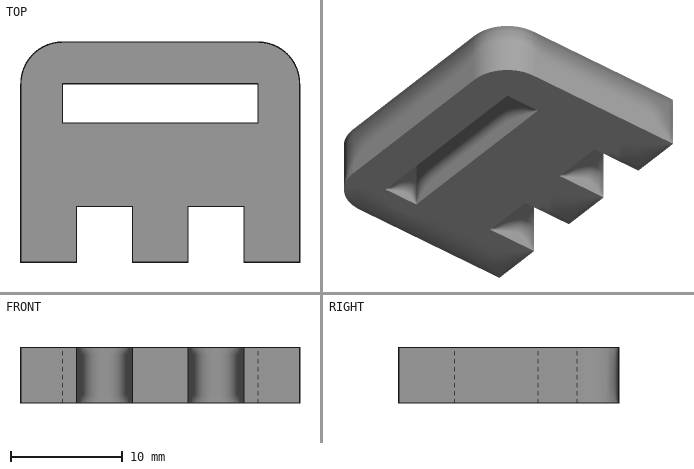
import cadquery as cq

tooth_width = 5.0
tooth_count = 3
tooth_length = 5.0
thickness = 5.0
rim = 3.75
slot_depth = 3.5
bridge = 7.5

gap_count = tooth_count - 1
width = (tooth_count + gap_count) * tooth_width
depth = tooth_length + bridge + slot_depth + rim
slot_width = width - 2 * rim


def block(x, y, size_x, size_y):
    """Full-thickness block with its lower left corner at (x, y)."""
    return cq.Workplane("XY").box(size_x, size_y, thickness, centered=False).translate((x, y, 0))


plate = block(0, 0, width, depth).edges("|Z and >Y").fillet(rim)

result = plate.cut(block(rim, tooth_length + bridge, slot_width, slot_depth))

for gap in range(gap_count):
    gap_start = (2 * gap + 1) * tooth_width
    result = result.cut(block(gap_start, 0, tooth_width, tooth_length))